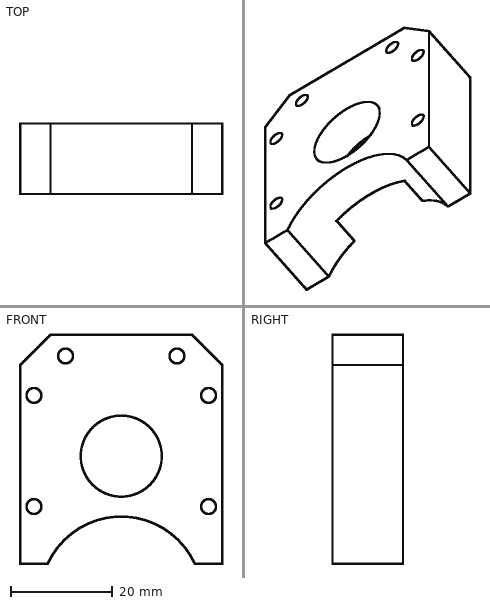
import cadquery as cq

width = 40.0
thickness = 14.0
height = 45.35
corner_chamfer = 6.0
front_face = -thickness / 2

bore_diameter = 16.0
bore_height = 21.3
front_wall = 8.0
pocket_diameter = 33.0

relief_diameter = 2 * bore_diameter
relief_drop = 28.0

hole_diameter = 2.9
top_hole_x = 11.0
top_hole_z = 19.8
side_hole_x = 17.3
upper_side_hole_z = 12.0
lower_side_hole_z = -10.0


def cylinder_to_back(diameter, x, z, start=front_face):
    """Cylinder along Y, running from the start plane to the back face."""
    return cq.Workplane(
        cq.Solid.makeCylinder(
            diameter / 2,
            thickness / 2 - start,
            cq.Vector(x, start, z),
            cq.Vector(0, 1, 0),
        )
    )


block = (
    cq.Workplane("XY")
    .box(width, thickness, height, centered=(True, True, False))
    .faces(">Z")
    .edges("|Y")
    .chamfer(corner_chamfer)
)

result = block.cut(cylinder_to_back(bore_diameter, 0, bore_height))
result = result.cut(cylinder_to_back(pocket_diameter, 0, bore_height, front_face + front_wall))
result = result.cut(cylinder_to_back(relief_diameter, 0, bore_height - relief_drop))

hole_places = [
    (top_hole_x, top_hole_z),
    (side_hole_x, upper_side_hole_z),
    (side_hole_x, lower_side_hole_z),
]
for x, z in hole_places:
    for side in (-1, 1):
        result = result.cut(cylinder_to_back(hole_diameter, side * x, bore_height + z))